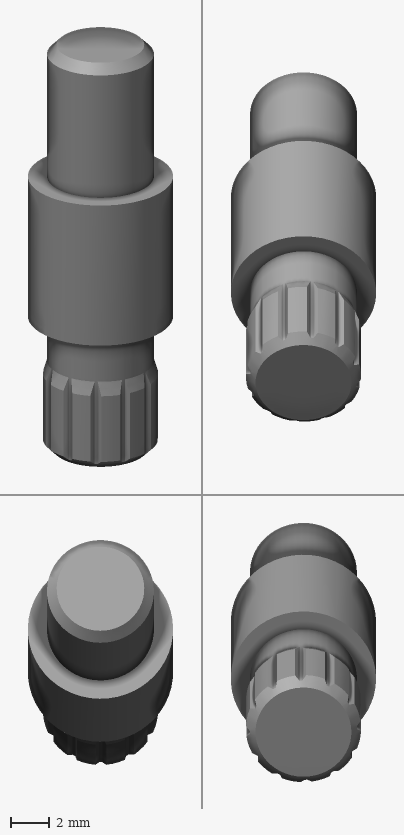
import cadquery as cq

pin_length = 23.0
pin_radius = 5.6 / 2
chamfer = 0.5

head_radius = 6.03 / 2
head_height = 5.0
lead_in_height = 0.74

groove_count = 12
groove_pitch = 360 / groove_count
groove_floor_width = 0.15
groove_wall_slope = 1.0
groove_overshoot = 0.23

sleeve_radius = 7.6 / 2
sleeve_bottom = 7.5
sleeve_top = 15.5


def make_pin_blank():
    """Turned pin with its head, before the grooves are cut."""
    return (
        cq.Workplane("XZ")
        .moveTo(0, 0)
        .lineTo(head_radius - chamfer, 0)
        .lineTo(head_radius, chamfer)
        .lineTo(head_radius, head_height - lead_in_height)
        .lineTo(pin_radius, head_height)
        .lineTo(pin_radius, pin_length - chamfer)
        .lineTo(pin_radius - chamfer, pin_length)
        .lineTo(0, pin_length)
        .close()
        .revolve(360, (0, 0, 0), (0, 1, 0))
    )


def make_groove_cutter():
    """Bar along Z that is V-shaped outside the pin surface, reaching from the axis to +X."""
    outer_radius = head_radius + groove_overshoot
    floor_half = groove_floor_width / 2
    outer_half = floor_half + groove_wall_slope * (outer_radius - pin_radius)
    return (
        cq.Workplane("XY")
        .moveTo(0, -floor_half)
        .lineTo(pin_radius, -floor_half)
        .lineTo(outer_radius, -outer_half)
        .lineTo(outer_radius, outer_half)
        .lineTo(pin_radius, floor_half)
        .lineTo(0, floor_half)
        .close()
        .extrude(head_height)
    )


def make_pin():
    """Pin whose head carries teeth separated by evenly spaced grooves."""
    blank = make_pin_blank()
    core = blank.intersect(cq.Workplane("XY").circle(pin_radius).extrude(pin_length))
    toothed = blank
    cutter = make_groove_cutter()
    for index in range(groove_count):
        angle = (index + 0.5) * groove_pitch
        toothed = toothed.cut(cutter.rotate((0, 0, 0), (0, 0, 1), angle))
    return toothed.union(core).clean().solids()


def make_sleeve():
    """Plain sleeve whose bore fits the pin."""
    return (
        cq.Workplane("XY")
        .workplane(offset=sleeve_bottom)
        .circle(sleeve_radius)
        .circle(pin_radius)
        .extrude(sleeve_top - sleeve_bottom)
    )


pin = make_pin()
sleeve = make_sleeve()

result = cq.Compound.makeCompound([pin.val(), sleeve.val()])